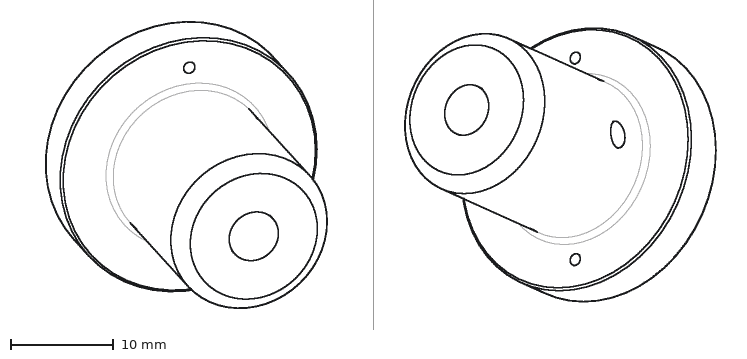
import cadquery as cq

total_length = 25.0
flange_diameter = 26.3
flange_thickness = 5.0
flange_chamfer = 0.24
shank_diameter = 16.0
shank_chamfer = 1.5
root_fillet = 0.55

bore_diameter = 5.05
pin_hole_diameter = 1.15
pin_hole_offset = 10.2
side_hole_diameter = 2.63
side_hole_x = 10.05

flange_radius = flange_diameter / 2
shank_radius = shank_diameter / 2


def cylinder_along_x(diameter, length, center_z=0):
    return (
        cq.Workplane("YZ", origin=(0, 0, center_z))
        .circle(diameter / 2)
        .extrude(length)
    )


def bushing_body():
    """Half profile of flange and shank, revolved about the X axis."""
    profile = (
        cq.Workplane("XY")
        .moveTo(0, 0)
        .lineTo(0, flange_radius - flange_chamfer)
        .lineTo(flange_chamfer, flange_radius)
        .lineTo(flange_thickness - flange_chamfer, flange_radius)
        .lineTo(flange_thickness, flange_radius - flange_chamfer)
        .lineTo(flange_thickness, shank_radius + root_fillet)
        .radiusArc((flange_thickness + root_fillet, shank_radius), -root_fillet)
        .lineTo(total_length - shank_chamfer, shank_radius)
        .lineTo(total_length, shank_radius - shank_chamfer)
        .lineTo(total_length, 0)
        .close()
    )
    return profile.revolve(360, (0, 0, 0), (1, 0, 0))


def side_hole():
    """Radial hole from the axis out through the +Y side of the shank."""
    return (
        cq.Workplane("XZ", origin=(side_hole_x, 0, 0))
        .circle(side_hole_diameter / 2)
        .extrude(-shank_diameter)
    )


result = bushing_body().cut(cylinder_along_x(bore_diameter, total_length))
for pin_hole_z in (-pin_hole_offset, pin_hole_offset):
    result = result.cut(cylinder_along_x(pin_hole_diameter, flange_thickness, center_z=pin_hole_z))
result = result.cut(side_hole())